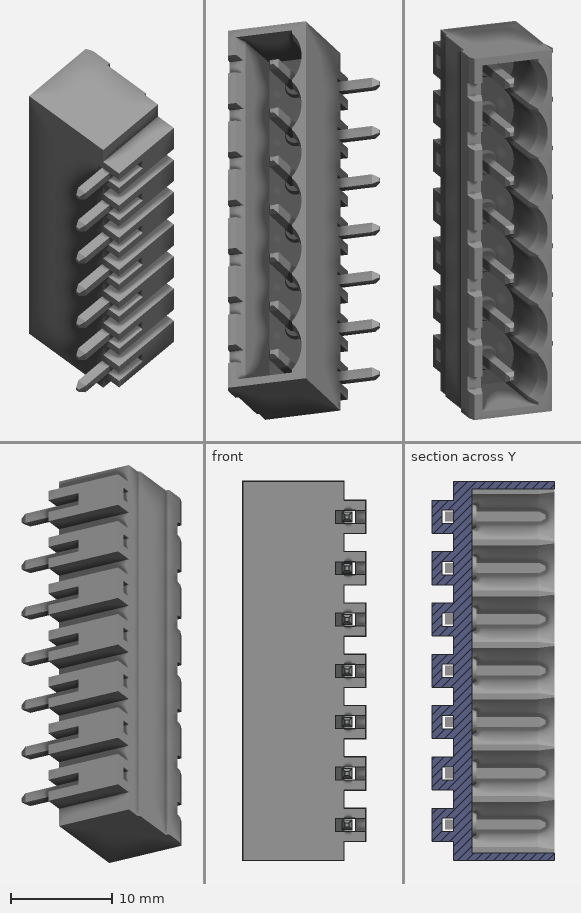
import cadquery as cq

contact_count = 7
pitch = 5.08
body_height = 37.56
body_length = 10.05
overall_length = 12.2

rim_height = 8.5
lead_in_height = 8.22
roof_height = 8.16
rear_height = 7.94
lead_in_length = 0.75
rim_length = 3.0
roof_step_x = 8.2

cavity_floor_x = 8.2
end_wall = 0.78
flare_depth = 1.6
flare = 0.45
ceiling_flare = 0.43
ceiling_height = 6.93
ceiling_draft = 0.12
cusp_height = 1.9
scallop_radius = 3.02
cavity_height = body_height - 2 * end_wall

notch_depth = 1.24
notch_mouth_width = 1.84
notch_back_width = 1.39
notch_bottom = 6.5

collar_base_radius = 1.27
collar_top_radius = 1.07
collar_height = 0.45

pin_size = 1.0
tip_size = 0.4
tip_length = 0.6
contact_y = 3.92
contact_tip_x = 0.9
leg_x = 10.33
leg_length = 4.0

foot_height = 3.32
slot_width = 1.28
slot_start_x = 9.2
slot_end_x = 11.15
slot_depth = contact_y - pin_size / 2

contact_levels = [(i - (contact_count - 1) / 2) * pitch for i in range(contact_count)]


def block(x0, x1, y0, y1, height, z=0):
    """Box spanning x0..x1 and y0..y1, centred on level z."""
    return cq.Workplane("XY").box(x1 - x0, y1 - y0, height).translate(((x0 + x1) / 2, (y0 + y1) / 2, z))


def extruded_profile(points, height):
    """XY outline extruded along Z, centred on Z = 0."""
    return cq.Workplane("XY").polyline(points).close().extrude(height / 2, both=True)


def contact_axis_revolve(points, z):
    """(x, radius) outline revolved about the contact axis at level z."""
    outline = cq.Workplane("XY").polyline(points).close()
    return outline.revolve(360, (0, 0, 0), (1, 0, 0)).translate((0, contact_y, z))


def make_shell():
    return extruded_profile(
        [
            (0, 0),
            (body_length, 0),
            (body_length, rear_height),
            (roof_step_x, rear_height),
            (roof_step_x, roof_height),
            (rim_length, roof_height),
            (rim_length, rim_height),
            (lead_in_length, rim_height),
            (0, lead_in_height),
        ],
        body_height,
    )


def make_cavity():
    cavity = extruded_profile(
        [
            (0, cusp_height - flare),
            (flare_depth, cusp_height),
            (cavity_floor_x, cusp_height),
            (cavity_floor_x, ceiling_height - ceiling_draft),
            (flare_depth, ceiling_height),
            (0, ceiling_height + ceiling_flare),
        ],
        cavity_height,
    )
    scallop_limits = block(0, cavity_floor_x, 0, contact_y, cavity_height)
    scallop_outline = [
        (0, 0),
        (0, scallop_radius + flare),
        (flare_depth, scallop_radius),
        (cavity_floor_x, scallop_radius),
        (cavity_floor_x, 0),
    ]
    for z in contact_levels:
        cavity = cavity.union(contact_axis_revolve(scallop_outline, z).intersect(scallop_limits))
    return cavity


def make_notch(z):
    outline = [
        (0, z - notch_mouth_width / 2),
        (notch_depth, z - notch_back_width / 2),
        (notch_depth, z + notch_back_width / 2),
        (0, z + notch_mouth_width / 2),
    ]
    notch = cq.Workplane("XZ").polyline(outline).close().extrude(-(rim_height - notch_bottom))
    return notch.translate((0, notch_bottom, 0))


def make_collar(z):
    return contact_axis_revolve(
        [
            (cavity_floor_x, 0),
            (cavity_floor_x, collar_base_radius),
            (cavity_floor_x - collar_height, collar_top_radius),
            (cavity_floor_x - collar_height, 0),
        ],
        z,
    )


def make_foot(z):
    return block(body_length, overall_length, 0, rear_height, foot_height, z)


def make_leg_slot(z):
    """Pocket up to the contact arm, with a slot running on through the foot."""
    pocket = block(slot_start_x, overall_length, 0, slot_depth, slot_width, z)
    through_slot = block(body_length, slot_end_x, 0, rear_height, slot_width, z)
    return pocket.union(through_slot)


def make_bar(length):
    """Square bar along +Z from the origin, ending in a tapered tip."""
    shaft = cq.Workplane("XY").rect(pin_size, pin_size).extrude(length - tip_length)
    tip = (
        cq.Workplane("XY", origin=(0, 0, length - tip_length))
        .rect(pin_size, pin_size)
        .workplane(offset=tip_length)
        .rect(tip_size, tip_size)
        .loft(ruled=True)
    )
    return shaft.union(tip)


def make_contact(z):
    """Right-angle contact: an arm along -X and a leg along -Y."""
    arm_start_x = leg_x + pin_size / 2
    arm = make_bar(arm_start_x - contact_tip_x).rotate((0, 0, 0), (0, 1, 0), -90)
    leg_start_y = contact_y + pin_size / 2
    leg = make_bar(leg_start_y + leg_length).rotate((0, 0, 0), (1, 0, 0), 90)
    return arm.translate((arm_start_x, contact_y, z)).union(leg.translate((leg_x, leg_start_y, z)))


result = make_shell().cut(make_cavity())
for level in contact_levels:
    result = result.cut(make_notch(level))
    result = result.union(make_collar(level))
    result = result.union(make_foot(level)).cut(make_leg_slot(level))
    result = result.union(make_contact(level))